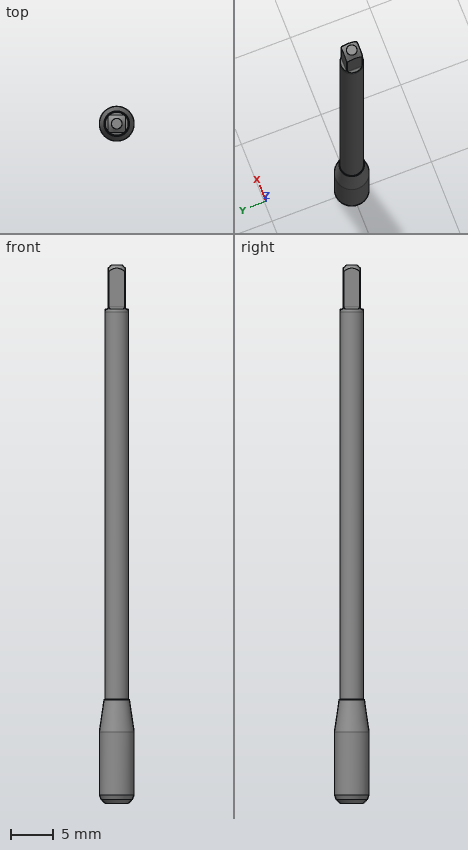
import cadquery as cq
import math

total_length = 63.1

shaft_radius = 2.8 / 2

grip_radius = 4.1 / 2
grip_end_radius = 2.69 / 2
grip_end_chamfer = grip_radius - grip_end_radius
grip_end_setback = 0.3
grip_height = 12.25
grip_taper_start = 8.4
grip_top_radius = 3.0 / 2
grip_rim_chamfer = grip_top_radius - shaft_radius

socket_floor = grip_taper_start

drive_corner_radius = 2.69 / 2
drive_across_flats = 2.0
drive_foot_radius = 0.25
drive_tip_radius = 1.24 / 2
drive_tip_chamfer = drive_corner_radius - drive_tip_radius
shoulder_height = 57.9
shoulder_bevel_height = 0.3


def revolve_profile(points):
    """Turn a closed outline of (radius, height) points about the Z axis."""
    return cq.Workplane("XZ").polyline(points).close().revolve(360, (0, 0, 0), (0, 1, 0))


def make_grip():
    """Round sleeve with a blind socket for the shaft."""
    end_diagonal = grip_end_setback * math.sqrt(0.5)
    return revolve_profile([
        (0, 0),
        (grip_end_radius, 0),
        (grip_radius - end_diagonal, grip_end_chamfer - end_diagonal),
        (grip_radius, grip_end_chamfer + grip_end_setback),
        (grip_radius, grip_taper_start),
        (grip_top_radius, grip_height - grip_rim_chamfer),
        (shaft_radius, grip_height),
        (shaft_radius, socket_floor),
        (0, socket_floor),
    ])


def make_flat_cutter():
    """Cutter for the flat on the +X side, with a rounded lower edge that leaves a concave foot."""
    cutter_size = 2 * drive_corner_radius
    cutter_height = total_length - shoulder_height
    return (
        cq.Workplane("XY")
        .box(cutter_size, cutter_size, cutter_height, centered=(False, True, False))
        .edges("<X and <Z")
        .fillet(drive_foot_radius)
        .translate((drive_across_flats / 2, 0, shoulder_height))
    )


def make_shaft():
    """Round shaft with a bevelled shoulder and a square, cone-tipped drive."""
    shaft = revolve_profile([
        (0, socket_floor),
        (shaft_radius, socket_floor),
        (shaft_radius, shoulder_height - shoulder_bevel_height),
        (drive_corner_radius, shoulder_height),
        (drive_corner_radius, total_length - drive_tip_chamfer),
        (drive_tip_radius, total_length),
        (0, total_length),
    ])
    flat_cutter = make_flat_cutter()
    for side in range(4):
        shaft = shaft.cut(flat_cutter.rotate((0, 0, 0), (0, 0, 1), 90 * side))
    return shaft


grip = make_grip()
shaft = make_shaft()

result = cq.Compound.makeCompound([grip.val(), shaft.val()])